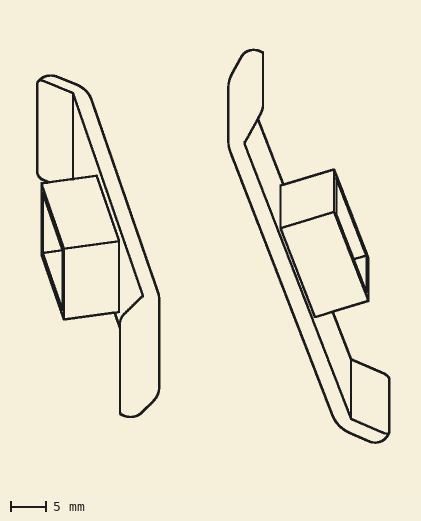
import cadquery as cq
import math

span = 41.4
height = 18.0
thickness = 2.5
flange_length = 6.0
bend_radius = 4.95
tip_radius = 2.0
rim_radius = 1.0

socket_length = 15.02
socket_height = 12.85
socket_depth = 8.0
socket_wall = 1.0
pocket_draft = 3.0

inner_face = span - thickness
outer_corner = flange_length + thickness * math.tan(math.radians(22.5))


def make_plate():
    """Bent plate with rounded bends, flange tips and outer rims."""
    outline = [
        (0, inner_face),
        (0, span),
        (outer_corner, span),
        (span, outer_corner),
        (span, 0),
        (inner_face, 0),
        (inner_face, flange_length),
        (flange_length, inner_face),
    ]
    plate = cq.Workplane("XY").polyline(outline).close().extrude(height / 2, both=True)

    def round_upright_edges(body, points, radius):
        for x, y in points:
            body = body.edges(cq.selectors.NearestToPointSelector((x, y, 0))).fillet(radius)
        return body

    bends = [(outer_corner, span), (span, outer_corner)]
    tips = [(0, span), (span, 0)]
    plate = round_upright_edges(plate, bends, bend_radius)
    plate = round_upright_edges(plate, tips, tip_radius)

    outer_web_middle = (span + outer_corner) / 2
    for z in (-height / 2, height / 2):
        rim_point = (outer_web_middle, outer_web_middle, z)
        plate = plate.edges(cq.selectors.NearestToPointSelector(rim_point)).fillet(rim_radius)
    return plate


def socket_plane(distance):
    """Plane parallel to the web, at a distance from its inner face, facing the web."""
    web_middle = (inner_face + flange_length) / 2
    position = web_middle - distance / math.sqrt(2)
    return cq.Plane(origin=(position, position, 0), xDir=(1, -1, 0), normal=(1, 1, 0))


def make_socket():
    """Box with its open end away from the web; the web closes the pocket."""
    open_end = cq.Workplane(socket_plane(socket_depth))
    box = open_end.rect(socket_length, socket_height).extrude(socket_depth)
    pocket_length = socket_length - 2 * socket_wall
    pocket_height = socket_height - 2 * socket_wall
    pocket = open_end.rect(pocket_length, pocket_height).extrude(socket_depth, taper=pocket_draft)
    return box.cut(pocket)


result = make_plate().union(make_socket())